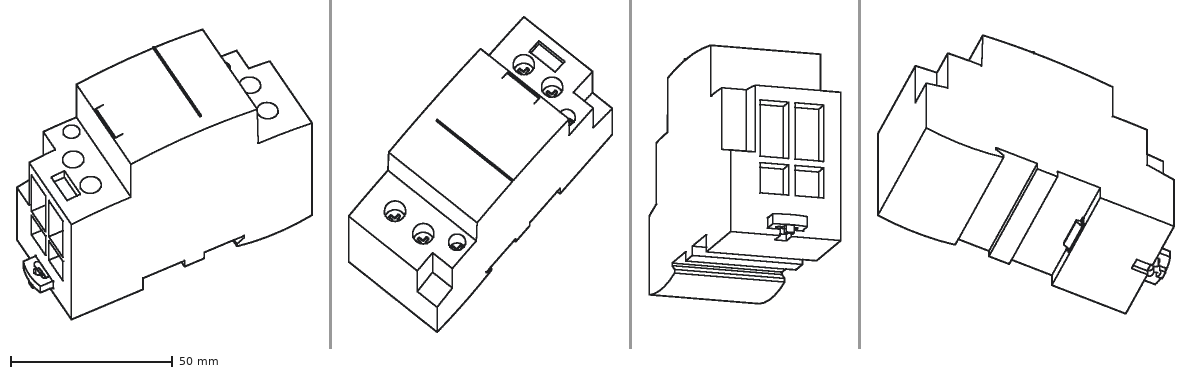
import cadquery as cq
import math

WIDTH = 35.8
LENGTH = 84.7
LEFT = -WIDTH / 2

BLOCK_FRONT = 20.95
BLOCK_BACK = 65.7
BLOCK_TOP_BACK = 65.4
BLOCK_FRONT_Z = 65.3
CROWN_Y = 46.4
CROWN_Z = 67.3
CROWN_DROP = CROWN_Z - BLOCK_FRONT_Z
CROWN_RADIUS = ((CROWN_Y - BLOCK_FRONT) ** 2 + CROWN_DROP**2) / (2 * CROWN_DROP)
SHOULDER_Z = 48.8
SHOULDER_END_Z = 47.65
SHOULDER_MIDDLE = 10.4
SHOULDER_MIDDLE_Z = 48.6
CUT_TOP_Z = 50.3

RAIL_FRONT = 25.3
RAIL_BACK = 60.9
RAIL_CEILING = 5.6
FOOT_FRONT = 39.8
FOOT_BACK = 46.75
FOOT_Z = 2.6
LIP_Y = 58.3
LIP_ROOT_Z = 4.8
LIP_TOP_Z = 2.9
LIP_BOTTOM_Z = 1.7
HEEL_Y = 71.5
HEEL_BACK_Z = 1.5

NOTCH_WIDTH = 8.0
NOTCH_INNER_Z = 28.8
NOTCH_FRONT_DEPTH = 9.3
NOTCH_FRONT_Z = 26.25
NOTCH_BACK_DEPTH = 7.4
NOTCH_BACK_Z = 26.8

POLE_MIDDLE_X = 2.0
POLE_PITCH = 11.4
POLE_XS = (POLE_MIDDLE_X - POLE_PITCH / 2, POLE_MIDDLE_X + POLE_PITCH / 2)
POCKET_WIDTH = 9.3
POCKET_DEPTH = 5.4
POCKET_Z_RANGES = ((13.2, 22.9), (25.0, 43.1))

WELL_DEPTH = 9.0
POLE_WELL_DIAMETER = 6.6
POLE_WELL_YS = (12.2, 74.4)
COIL_WELL_DIAMETER = 5.2
COIL_WELL_X = LEFT + 4.3
COIL_WELL_YS = (16.9, 69.85)
CROSS_LENGTH = 4.1
CROSS_WIDTH = 0.9
CROSS_DEPTH = 0.9

LABEL_LEFT = LEFT + 16.6
LABEL_WIDTH = 10.4
LABEL_FRONT = 3.15
LABEL_LENGTH = 4.7
LABEL_FLOOR_Z = 45.1

RIB_LENGTH = 30.75
RIB_WIDTH = 0.45
RIB_Y = 48.1
RIB_TOP_Z = 67.8

FINGER_LEFT = LEFT + 11.4
FINGER_WIDTH = 12.95
FINGER_RIM_Y = 21.4
FINGER_FLOOR_Y = 21.8
FINGER_BACK = 24.2
FINGER_DEPTH = 0.135

CLIP_WIDTH = 11.2
CLIP_BOTTOM_Z = 2.3
CLIP_TOP_Z = RAIL_CEILING
CLIP_TIP = -5.2
CLIP_CORNER = -4.3
CLIP_END = 25.6
CHANNEL_GAP = 0.3

KEYHOLE_SLOT_WIDTH = 7.1
KEYHOLE_SLOT_RADIUS = 1.03
KEYHOLE_LOBE_Y = -2.0
KEYHOLE_LOBE_RADIUS = 1.5

PEG_WIDTH = 2.6
PEG_FRONT = -4.8
PEG_BACK = -2.25
PEG_SLOT_WIDTH = 3.7
PEG_SLOT_DEPTH = 5.4

HOOK_WIDTH = 9.4
HOOK_TIP = 27.3
HOOK_BOTTOM_Z = 1.7
HOOK_TIP_LOW_Z = 3.6
HOOK_TIP_HIGH_Z = 4.3
HOOK_TOP_Z = 4.7


def box(x, y, z):
    """Box spanning the three (low, high) ranges."""
    size = [high - low for low, high in (x, y, z)]
    return cq.Workplane("XY").box(*size, centered=False).translate((x[0], y[0], z[0]))


def centred(width, middle=0.0):
    """(low, high) range of a width about its middle."""
    return (middle - width / 2, middle + width / 2)


def extruded_side(points, x):
    """Closed (y, z) polygon extruded over the x range."""
    return cq.Workplane("YZ", origin=(x[0], 0, 0)).polyline(points).close().extrude(x[1] - x[0])


def crown_point(y):
    """Point (y, z) on the crown arc."""
    drop = CROWN_RADIUS - math.sqrt(CROWN_RADIUS**2 - (y - CROWN_Y) ** 2)
    return (y, CROWN_Z - drop)


def housing_blank():
    """Side outline of the housing extruded across its full width."""
    return (
        cq.Workplane("YZ", origin=(LEFT, 0, 0))
        .moveTo(BLOCK_BACK, SHOULDER_Z)
        .threePointArc((LENGTH - SHOULDER_MIDDLE, SHOULDER_MIDDLE_Z), (LENGTH, SHOULDER_END_Z))
        .lineTo(LENGTH, HEEL_BACK_Z)
        .threePointArc((HEEL_Y, 0), (LIP_Y, LIP_BOTTOM_Z))
        .lineTo(LIP_Y, LIP_TOP_Z)
        .lineTo(RAIL_BACK, LIP_ROOT_Z)
        .lineTo(RAIL_BACK, RAIL_CEILING)
        .lineTo(FOOT_BACK, RAIL_CEILING)
        .lineTo(FOOT_BACK, FOOT_Z)
        .lineTo(FOOT_FRONT, FOOT_Z)
        .lineTo(FOOT_FRONT, RAIL_CEILING)
        .lineTo(RAIL_FRONT, RAIL_CEILING)
        .lineTo(RAIL_FRONT, 0)
        .lineTo(0, 0)
        .lineTo(0, SHOULDER_END_Z)
        .threePointArc((SHOULDER_MIDDLE, SHOULDER_MIDDLE_Z), (BLOCK_FRONT, SHOULDER_Z))
        .lineTo(BLOCK_FRONT, BLOCK_FRONT_Z)
        .threePointArc((CROWN_Y, CROWN_Z), crown_point(BLOCK_TOP_BACK))
        .close()
        .extrude(WIDTH)
    )


def corner_notches():
    """Left-hand corner cuts with floors sloping down to the end faces."""
    x = (LEFT, LEFT + NOTCH_WIDTH)
    front_wall = NOTCH_FRONT_DEPTH
    back_wall = LENGTH - NOTCH_BACK_DEPTH
    front = [(0, NOTCH_FRONT_Z), (front_wall, NOTCH_INNER_Z), (front_wall, CUT_TOP_Z), (0, CUT_TOP_Z)]
    back = [
        (LENGTH, NOTCH_BACK_Z),
        (back_wall, NOTCH_INNER_Z),
        (back_wall, CUT_TOP_Z),
        (LENGTH, CUT_TOP_Z),
    ]
    return extruded_side(front, x).union(extruded_side(back, x))


def wire_pockets():
    """Two stacked rectangular pockets per pole in the front face."""
    pockets = cq.Workplane()
    for x in POLE_XS:
        for z_range in POCKET_Z_RANGES:
            pockets = pockets.add(box(centred(POCKET_WIDTH, x), (0, POCKET_DEPTH), z_range))
    return pockets.combine()


def screw_well(x, y, diameter):
    """Round well from the shoulder down, with a cross recess in its floor."""
    floor = SHOULDER_Z - WELL_DEPTH
    cross_z = (floor - CROSS_DEPTH, floor)
    well = cq.Workplane("XY", origin=(x, y, floor)).circle(diameter / 2).extrude(CUT_TOP_Z - floor)
    arm_along_x = box(centred(CROSS_LENGTH, x), centred(CROSS_WIDTH, y), cross_z)
    arm_along_y = box(centred(CROSS_WIDTH, x), centred(CROSS_LENGTH, y), cross_z)
    return well.union(arm_along_x).union(arm_along_y)


def label_recess():
    return box(
        (LABEL_LEFT, LABEL_LEFT + LABEL_WIDTH),
        (LABEL_FRONT, LABEL_FRONT + LABEL_LENGTH),
        (LABEL_FLOOR_Z, CUT_TOP_Z),
    )


def crown_rib():
    """Thin rib across the crown, starting at the left side."""
    return box((LEFT, LEFT + RIB_LENGTH), centred(RIB_WIDTH, RIB_Y), (BLOCK_FRONT_Z, RIB_TOP_Z))


def finger_recess():
    """Recess whose floor sinks gently from the crown towards a steep front wall."""
    rim = crown_point(FINGER_RIM_Y)
    back = crown_point(FINGER_BACK)
    floor_z = crown_point(FINGER_FLOOR_Y)[1] - FINGER_DEPTH
    side = [back, (FINGER_FLOOR_Y, floor_z), rim, (FINGER_RIM_Y, CROWN_Z), (FINGER_BACK, CROWN_Z)]
    return extruded_side(side, (FINGER_LEFT, FINGER_LEFT + FINGER_WIDTH))


def clip_channel():
    """Passage for the clip bar, with a blind slot below it for the peg."""
    bottom = CLIP_BOTTOM_Z - CHANNEL_GAP
    bar_passage = box(centred(CLIP_WIDTH + 2 * CHANNEL_GAP), (0, RAIL_FRONT), (bottom, CLIP_TOP_Z))
    peg_slot = box(centred(PEG_SLOT_WIDTH), (0, PEG_SLOT_DEPTH), (0, bottom))
    return bar_passage.union(peg_slot)


def make_housing():
    housing = housing_blank().cut(finger_recess()).union(crown_rib())
    housing = housing.cut(corner_notches()).cut(wire_pockets()).cut(label_recess())
    for y in POLE_WELL_YS:
        for x in POLE_XS:
            housing = housing.cut(screw_well(x, y, POLE_WELL_DIAMETER))
    for y in COIL_WELL_YS:
        housing = housing.cut(screw_well(COIL_WELL_X, y, COIL_WELL_DIAMETER))
    return housing.cut(clip_channel())


def keyhole():
    """Opening through the clip tongue: a round-ended slot along the housing face and a round lobe."""
    z = CLIP_TOP_Z
    slot = (
        cq.Workplane("XY")
        .center(0, -KEYHOLE_SLOT_RADIUS)
        .slot2D(KEYHOLE_SLOT_WIDTH, 2 * KEYHOLE_SLOT_RADIUS)
        .extrude(z)
    )
    lobe = cq.Workplane("XY").center(0, KEYHOLE_LOBE_Y).circle(KEYHOLE_LOBE_RADIUS).extrude(z)
    return slot.union(lobe)


def make_clip():
    """Sliding bar with a bowed tongue in front, a pull peg below it and a rail hook at the back."""
    half = CLIP_WIDTH / 2
    bar = (
        cq.Workplane("XY", origin=(0, 0, CLIP_BOTTOM_Z))
        .moveTo(-half, CLIP_END)
        .lineTo(-half, CLIP_CORNER)
        .threePointArc((0, CLIP_TIP), (half, CLIP_CORNER))
        .lineTo(half, CLIP_END)
        .close()
        .extrude(CLIP_TOP_Z - CLIP_BOTTOM_Z)
    )
    peg = box(centred(PEG_WIDTH), (PEG_FRONT, PEG_BACK), (0, CLIP_BOTTOM_Z))
    hook_side = [
        (RAIL_FRONT, CLIP_BOTTOM_Z),
        (RAIL_FRONT, HOOK_BOTTOM_Z),
        (HOOK_TIP, HOOK_TIP_LOW_Z),
        (HOOK_TIP, HOOK_TIP_HIGH_Z),
        (CLIP_END, HOOK_TOP_Z),
        (RAIL_FRONT, HOOK_TOP_Z),
    ]
    hook = extruded_side(hook_side, centred(HOOK_WIDTH))
    return bar.union(peg).union(hook).cut(keyhole())


housing = make_housing()
clip = make_clip()

result = cq.Compound.makeCompound([housing.solids().val(), clip.solids().val()])